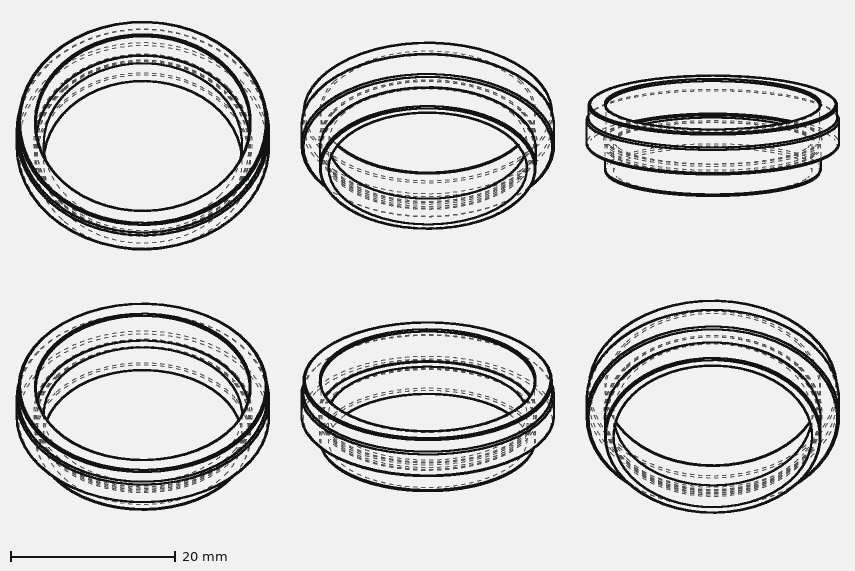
import cadquery as cq

flange_diameter = 30.73
rim_diameter = 30.25
spigot_diameter = 26.27
neck_diameter = 25.78
bore_diameter = 26.03
bore_groove_diameter = 26.55
through_diameter = 24.12

total_height = 8.35
flange_top = 6.58
flange_bottom = 3.2
ledge_height = 3.78

relief_width = 0.25

rim_chamfer = 0.18
flange_chamfer = (flange_diameter - rim_diameter) / 2
thread_chamfer_width = 0.12
thread_chamfer_height = 0.25


def revolved(outline):
    """Full turn about Z of a closed outline of (radius, height) points."""
    return cq.Workplane("XZ").polyline(outline).close().revolve(360, (0, 0), (0, 1))


def outer_body():
    """Solid of revolution: chamfered spigot, undercut neck, flange and rim."""
    flange_radius = flange_diameter / 2
    rim_radius = rim_diameter / 2
    spigot_radius = spigot_diameter / 2
    neck_radius = neck_diameter / 2
    spigot_top = flange_bottom - relief_width
    outline = [
        (0, 0),
        (spigot_radius - thread_chamfer_width, 0),
        (spigot_radius, thread_chamfer_height),
        (spigot_radius, spigot_top),
        (neck_radius, spigot_top),
        (neck_radius, flange_bottom),
        (flange_radius - flange_chamfer, flange_bottom),
        (flange_radius, flange_bottom + flange_chamfer),
        (flange_radius, flange_top - flange_chamfer),
        (rim_radius, flange_top),
        (rim_radius, total_height - rim_chamfer),
        (rim_radius - rim_chamfer, total_height),
        (0, total_height),
    ]
    return revolved(outline)


def stepped_bore():
    """Cutter: through hole, ledge, relief groove and wider bore with a flared mouth."""
    through_radius = through_diameter / 2
    bore_radius = bore_diameter / 2
    groove_radius = bore_groove_diameter / 2
    groove_top = ledge_height + relief_width
    outline = [
        (0, 0),
        (through_radius, 0),
        (through_radius, ledge_height),
        (groove_radius, ledge_height),
        (groove_radius, groove_top),
        (bore_radius, groove_top),
        (bore_radius, total_height - thread_chamfer_height),
        (bore_radius + thread_chamfer_width, total_height),
        (0, total_height),
    ]
    return revolved(outline)


result = outer_body().cut(stepped_bore())